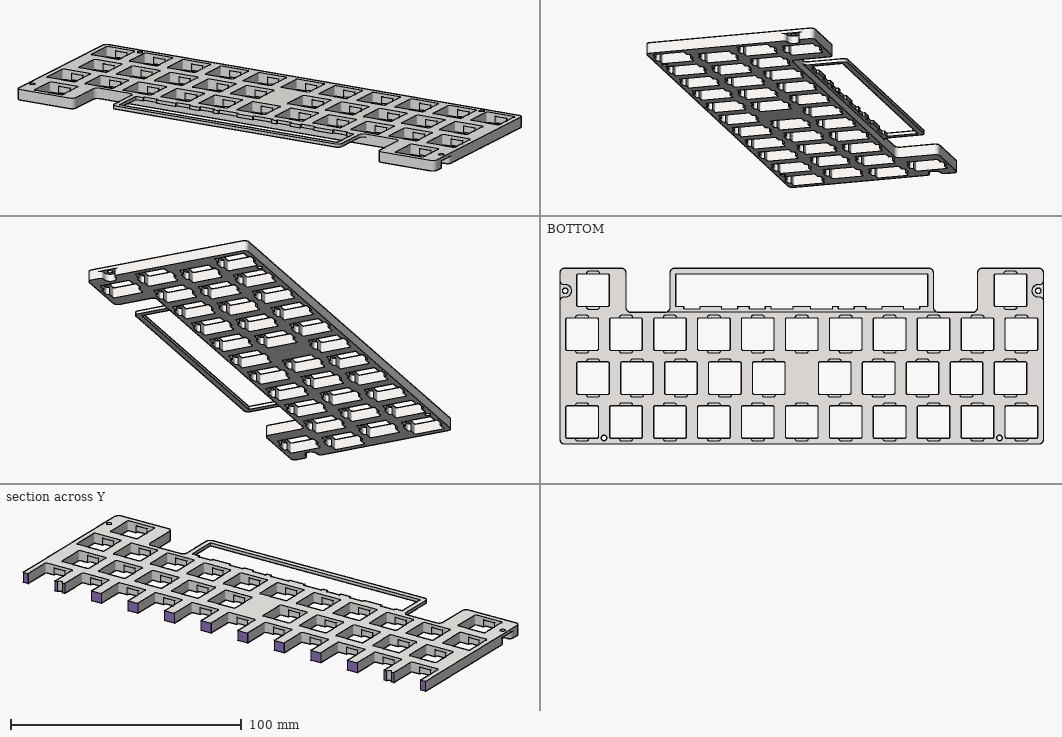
import cadquery as cq

LENGTH = 209.8
THICKNESS = 4.8
PLATE_THICKNESS = 1.5
BODY_HEIGHT = THICKNESS - PLATE_THICKNESS

COLUMNS = 11
ROWS = 4
EDGE_MARGIN = 0.08
PITCH = (LENGTH - 2 * EDGE_MARGIN) / COLUMNS
WIDTH = ROWS * PITCH + 2 * EDGE_MARGIN
GRID_LEFT = -LENGTH / 2 + EDGE_MARGIN
GRID_BOTTOM = -WIDTH / 2 + EDGE_MARGIN

WEB = 5.0
OPENING = PITCH - WEB
OPENING_RADIUS = 0.5
CLIP_WIDTH = 5.7
CLIP_DEPTH = 1.3
CLIP_RADIUS = 1.0

CORNER_RADIUS = 2.0
BAR_START = 2.5
BAR_END = COLUMNS - BAR_START
NOTCH_KEYS = 1.0

RECESS_DEPTH = 1.0
STABILIZER_WIDTH = 7.0
STABILIZER_OFFSETS = (19.3, 31.3, 47.6)
CENTER_RECESS_WIDTH = 9.5
CENTER_RECESS_OFFSET = 8.5

SCREW_DIAMETER = 2.3
SIDE_SCREW_INSET = 2.3
SIDE_SCREW_HEIGHT = 9.9
BACK_SCREW_INSET = 2.7
POCKET_RADIUS = 2.7
POCKET_MOUTH_RADIUS = 1.7

FIRST_KEY = 0.5
WIDE_FIRST_KEY = 0.75
HOME_HALF_KEYS = 5
FRONT_ROW, LOWER_ROW, HOME_ROW, BACK_ROW = [row + 0.5 for row in range(ROWS)]
FULL_COLUMNS = [FIRST_KEY + column for column in range(COLUMNS)]
HOME_LEFT = [WIDE_FIRST_KEY + column for column in range(HOME_HALF_KEYS)]
HOME_RIGHT = [COLUMNS - column for column in HOME_LEFT]
FRONT_COLUMNS = [WIDE_FIRST_KEY, COLUMNS - WIDE_FIRST_KEY]
KEYS = [(column, row) for row in (BACK_ROW, LOWER_ROW) for column in FULL_COLUMNS]
KEYS += [(column, HOME_ROW) for column in HOME_LEFT + HOME_RIGHT]
KEYS += [(column, FRONT_ROW) for column in FRONT_COLUMNS]


def grid_x(column):
    return GRID_LEFT + column * PITCH


def grid_y(row):
    return GRID_BOTTOM + row * PITCH


def box(x_min, x_max, y_min, y_max, height):
    """Block standing on the bottom plane."""
    size = (x_max - x_min, y_max - y_min, height)
    return cq.Workplane("XY").box(*size, centered=False).translate((x_min, y_min, 0))


def front_cut(start, end, height):
    """Block that removes the front row between two columns, up to a height."""
    return box(grid_x(start), grid_x(end), -WIDTH / 2, grid_y(1), height)


def base_layer(cuts, z_min, height):
    """Full rectangle less some front-row spans, with every vertical corner rounded."""
    layer = cq.Workplane("XY").box(LENGTH, WIDTH, height, centered=(True, True, False))
    for start, end in cuts:
        layer = layer.cut(front_cut(start, end, height))
    return layer.edges("|Z").fillet(CORNER_RADIUS).translate((0, 0, z_min))


def make_blank():
    """Thick body with one wide front gap, under a skin that carries the spacebar frame."""
    gap_start = BAR_START - NOTCH_KEYS
    gap_end = BAR_END + NOTCH_KEYS
    body = base_layer([(gap_start, gap_end)], 0, BODY_HEIGHT)
    skin_cuts = [(gap_start, BAR_START), (BAR_END, gap_end)]
    skin = base_layer(skin_cuts, BODY_HEIGHT, PLATE_THICKNESS)
    return body.union(skin)


def make_switch_cutter():
    """Square opening through the plate, plus a clip relief on both Y sides below the skin."""
    opening = cq.Workplane("XY").rect(OPENING, OPENING).extrude(THICKNESS)
    opening = opening.edges("|Z").fillet(OPENING_RADIUS)
    relief = cq.Workplane("XY").rect(CLIP_WIDTH, OPENING + 2 * CLIP_DEPTH).extrude(BODY_HEIGHT)
    relief = relief.edges("|Z").fillet(CLIP_RADIUS)
    return opening.union(relief)


def cut_switches(part):
    cutter = make_switch_cutter().val()
    points = [(grid_x(column), grid_y(row)) for column, row in KEYS]
    cutters = cq.Workplane("XY").pushPoints(points).eachpoint(lambda place: cutter.moved(place))
    return part.cut(cutters)


def cut_spacebar(part):
    """Long opening in the skin, with stabilizer recesses along its far side."""
    frame = WEB / 2
    y_min = grid_y(0) + frame
    y_max = y_min + OPENING
    opening = box(grid_x(BAR_START) + frame, grid_x(BAR_END) - frame, y_min, y_max, THICKNESS)
    recesses = [(offset, STABILIZER_WIDTH) for offset in STABILIZER_OFFSETS]
    recesses.append((CENTER_RECESS_OFFSET, CENTER_RECESS_WIDTH))
    for offset, width in recesses:
        for center in (-offset, offset):
            left = center - width / 2
            recess = box(left, left + width, y_min, y_max + RECESS_DEPTH, THICKNESS)
            opening = opening.union(recess)
    return part.cut(opening)


def make_side_pocket():
    """Clearance under a left side screw: round at the screw, open and flared at the side."""
    mouth = POCKET_RADIUS + POCKET_MOUTH_RADIUS
    return (
        cq.Workplane("XY")
        .moveTo(0, mouth)
        .radiusArc((POCKET_MOUTH_RADIUS, POCKET_RADIUS), -POCKET_MOUTH_RADIUS)
        .lineTo(SIDE_SCREW_INSET, POCKET_RADIUS)
        .radiusArc((SIDE_SCREW_INSET, -POCKET_RADIUS), POCKET_RADIUS)
        .lineTo(POCKET_MOUTH_RADIUS, -POCKET_RADIUS)
        .radiusArc((0, -mouth), -POCKET_MOUTH_RADIUS)
        .close()
        .extrude(BODY_HEIGHT)
        .translate((-LENGTH / 2, SIDE_SCREW_HEIGHT - WIDTH / 2, 0))
    )


def cut_screws(part):
    side_x = LENGTH / 2 - SIDE_SCREW_INSET
    side_y = SIDE_SCREW_HEIGHT - WIDTH / 2
    back_y = WIDTH / 2 - BACK_SCREW_INSET
    points = [(-side_x, side_y), (side_x, side_y)]
    points += [(grid_x(1), back_y), (grid_x(COLUMNS - 1), back_y)]
    holes = cq.Workplane("XY").pushPoints(points).circle(SCREW_DIAMETER / 2).extrude(THICKNESS)
    pocket = make_side_pocket()
    return part.cut(holes).cut(pocket).cut(pocket.mirror("YZ"))


result = cut_screws(cut_spacebar(cut_switches(make_blank())))